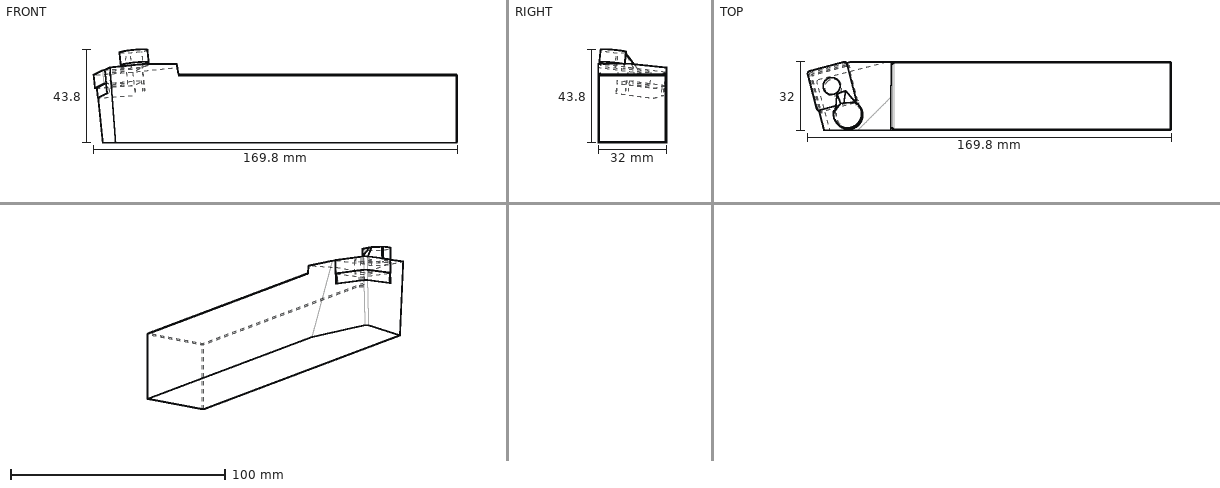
import cadquery as cq
import math

LENGTH = 169.8
WIDTH = 32.0
SHANK_HEIGHT = 32.0
HEAD_HEIGHT = 36.9
SHANK_CHAMFER = 0.5

STEP_TOP_X = 38.9
STEP_ROOT_X = 39.7
STEP_FILLET = 0.7

SLOPE_START_X = 23.3
SEAT_SLOPE = 0.102
LEAD_ANGLE = math.radians(15)

TIP_X = -0.25
TIP_Y = 27.3
INSERT_SIDE = 19.0
INSERT_THICKNESS = 6.3
CORNER_RADIUS = 1.2
PIN_DIAMETER = 8.0
SHIM_THICKNESS = 4.8
FLANK_INSET = 0.8
SHIM_INSET = 0.71

CLAMP_X = 19.4
CLAMP_Y = 7.0
CLAMP_RADIUS = 6.6
CLAMP_HEIGHT = 7.1
NECK_HEIGHT = 1.2
NECK_RADIUS = 6.0
NOSE_LEFT = (-6.5, 0.7)
NOSE_RIGHT = (3.7, 5.3)
NOSE_BASE = [NOSE_LEFT, (-5.8, 10.0), (-1.7, 11.5), NOSE_RIGHT]
NOSE_TOP = [NOSE_LEFT, (-3.2, 5.0), (-1.7, 5.1), NOSE_RIGHT]


def seat_height(x, y):
    """Height of the sloping seat plane above the base."""
    return HEAD_HEIGHT - SEAT_SLOPE * (SLOPE_START_X - x + y)


def seat_plane(x, y, angle):
    """Frame on the seat plane whose local x axis has the given plan angle."""
    run_x = math.cos(angle)
    run_y = math.sin(angle)
    return cq.Plane(
        origin=(x, y, seat_height(x, y)),
        xDir=(run_x, run_y, SEAT_SLOPE * (run_x - run_y)),
        normal=(-SEAT_SLOPE, SEAT_SLOPE, 1),
    )


INSERT_PLANE = seat_plane(TIP_X, TIP_Y, LEAD_ANGLE)
CLAMP_PLANE = seat_plane(CLAMP_X, CLAMP_Y, 0)


def square_prism(inset, side, top, thickness):
    """Square block whose tip corner is inset from the insert tip, `top` below the seat plane."""
    return (
        cq.Workplane(INSERT_PLANE)
        .workplane(offset=-top - thickness)
        .center(inset, -inset)
        .rect(side, -side, centered=False)
        .extrude(thickness)
    )


def make_pin(depth):
    center = INSERT_SIDE / 2
    return cq.Workplane(INSERT_PLANE).center(center, -center).circle(PIN_DIAMETER / 2).extrude(-depth)


def make_insert():
    block = square_prism(0, INSERT_SIDE, 0, INSERT_THICKNESS)
    block = block.edges(cq.selectors.ParallelDirSelector(INSERT_PLANE.zDir)).fillet(CORNER_RADIUS)
    return block.cut(make_pin(INSERT_THICKNESS))


def make_bar():
    """Shank and raised head before the flanks are cut."""
    head = (
        cq.Workplane("XZ")
        .moveTo(0, 0)
        .lineTo(STEP_ROOT_X, 0)
        .lineTo(STEP_ROOT_X, SHANK_HEIGHT)
        .lineTo(STEP_TOP_X, HEAD_HEIGHT)
        .lineTo(0, HEAD_HEIGHT)
        .close()
        .extrude(-WIDTH)
    )
    shank = (
        cq.Workplane("XY")
        .box(LENGTH - STEP_ROOT_X, WIDTH, SHANK_HEIGHT, centered=False)
        .translate((STEP_ROOT_X, 0, 0))
        .faces(">X or >Z")
        .edges("not <X")
        .chamfer(SHANK_CHAMFER)
    )
    bar = head.union(shank)
    root = cq.selectors.NearestToPointSelector((STEP_ROOT_X, WIDTH / 2, SHANK_HEIGHT))
    return bar.edges(root).fillet(STEP_FILLET)


def make_clamp():
    neck = cq.Workplane(CLAMP_PLANE).circle(NECK_RADIUS).extrude(NECK_HEIGHT)
    cap = (
        cq.Workplane(CLAMP_PLANE)
        .workplane(offset=NECK_HEIGHT)
        .circle(CLAMP_RADIUS)
        .extrude(CLAMP_HEIGHT - NECK_HEIGHT)
    )
    nose = (
        cq.Workplane(CLAMP_PLANE)
        .polyline(NOSE_BASE)
        .close()
        .workplane(offset=CLAMP_HEIGHT)
        .polyline(NOSE_TOP)
        .close()
        .loft(ruled=True)
    )
    front_y = 2 * CLAMP_RADIUS
    cap_front = (
        cq.Workplane(CLAMP_PLANE)
        .polyline([NOSE_LEFT, (-CLAMP_RADIUS, front_y), (NOSE_RIGHT[0], front_y), NOSE_RIGHT])
        .close()
        .extrude(CLAMP_HEIGHT)
    )
    return neck.union(cap.cut(cap_front)).union(nose)


def make_holder():
    """Bar with flanks, insert pocket, shim, pin and clamp."""
    pocket_depth = INSERT_THICKNESS + SHIM_THICKNESS
    flanks = square_prism(FLANK_INSET, 2 * LENGTH, 0, 2 * HEAD_HEIGHT)
    tip_edge = cq.selectors.NearestToPointSelector(INSERT_PLANE.toWorldCoords((0, 0, -HEAD_HEIGHT)))
    flanks = flanks.edges(tip_edge).fillet(CORNER_RADIUS)
    holder = make_bar().intersect(flanks)
    holder = holder.cut(square_prism(0, INSERT_SIDE, 0, pocket_depth))
    shim = square_prism(SHIM_INSET, INSERT_SIDE - SHIM_INSET, INSERT_THICKNESS, SHIM_THICKNESS)
    shim = shim.edges(cq.selectors.ParallelDirSelector(INSERT_PLANE.zDir)).fillet(CORNER_RADIUS)
    holder = holder.union(shim, clean=False)
    holder = holder.union(make_pin(pocket_depth), clean=False)
    return holder.union(make_clamp(), clean=False)


insert = make_insert()
holder = make_holder()
result = cq.Compound.makeCompound([*holder.solids().vals(), insert.val()])